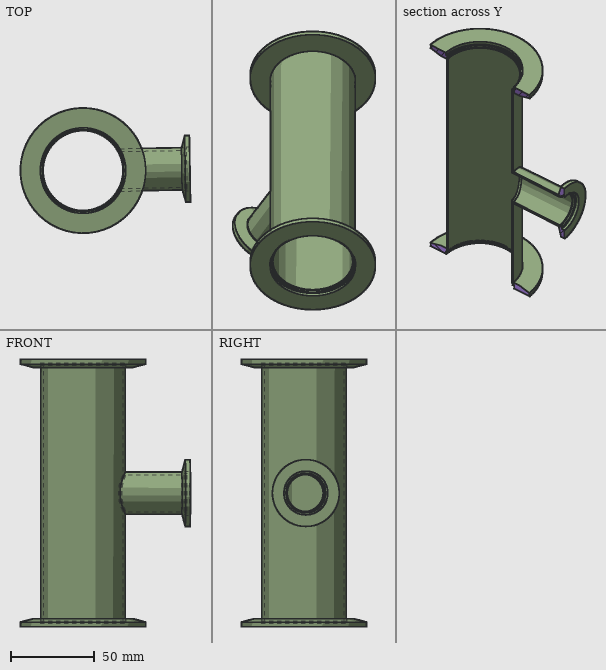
import cadquery as cq
import math

overall_height = 160.0
tube_diameter = 50.7
tube_bore = 47.7

branch_diameter = 25.5
branch_bore = 22.0
branch_reach = 64.0
branch_angle = 1.0

flange_thickness = 5.0
rim_thickness = 2.9
taper_angle = 15.0

end_flange_diameter = 75.0
end_recess_diameter = 51.2
end_recess_depth = 2.0
end_ledge_bore = 49.1
end_socket_diameter = 51.0
end_socket_depth = 1.5

branch_flange_diameter = 40.0
branch_recess_diameter = 26.2
branch_recess_depth = 2.0
branch_ledge_bore = 23.7
branch_socket_diameter = 25.6
branch_socket_depth = 1.5


def make_flange(diameter, recess_diameter, recess_depth, ledge_bore, socket_diameter, socket_depth):
    """Tapered clamp flange with its sealing face on Z = 0, facing +Z, and a tube socket in its back."""
    rim_radius = diameter / 2
    taper_height = flange_thickness - rim_thickness
    back_radius = rim_radius - taper_height / math.tan(math.radians(taper_angle))
    recess_radius = recess_diameter / 2
    ledge_radius = ledge_bore / 2
    socket_radius = socket_diameter / 2
    socket_floor = socket_depth - flange_thickness
    profile = [
        (recess_radius, 0),
        (rim_radius, 0),
        (rim_radius, -rim_thickness),
        (back_radius, -flange_thickness),
        (socket_radius, -flange_thickness),
        (socket_radius, socket_floor),
        (ledge_radius, socket_floor),
        (ledge_radius, -recess_depth),
        (recess_radius, -recess_depth),
    ]
    return cq.Workplane("XZ").polyline(profile).close().revolve(360, (0, 0), (0, 1))


def swing_branch(shape):
    """Turn a shape built along +X about the main axis into the branch direction."""
    return shape.rotate((0, 0, 0), (0, 0, 1), branch_angle)


def make_main_tube():
    """Straight tube seated in both end flanges, with a side opening into the branch."""
    length = overall_height - 2 * (flange_thickness - end_socket_depth)
    tube = (
        cq.Workplane("XY", origin=(0, 0, -length / 2))
        .circle(tube_diameter / 2)
        .circle(tube_bore / 2)
        .extrude(length)
    )
    opening = cq.Workplane("YZ").circle(branch_bore / 2).extrude(tube_diameter)
    return tube.cut(swing_branch(opening))


def make_branch_tube():
    """Side tube whose inner end is saddled to the outside of the main tube."""
    length = branch_reach - flange_thickness + branch_socket_depth
    branch = cq.Workplane("YZ").circle(branch_diameter / 2).circle(branch_bore / 2).extrude(length)
    saddle = (
        cq.Workplane("XY", origin=(0, 0, -branch_diameter))
        .circle(tube_diameter / 2)
        .extrude(2 * branch_diameter)
    )
    return swing_branch(branch.cut(saddle))


def make_end_flange(end_angle):
    """End flange on top of the main tube, turned about X by end_angle degrees."""
    flange = make_flange(
        end_flange_diameter,
        end_recess_diameter,
        end_recess_depth,
        end_ledge_bore,
        end_socket_diameter,
        end_socket_depth,
    )
    on_top = flange.translate((0, 0, overall_height / 2))
    return on_top.rotate((0, 0, 0), (1, 0, 0), end_angle)


def make_branch_flange():
    """Smaller flange on the free end of the branch tube."""
    flange = make_flange(
        branch_flange_diameter,
        branch_recess_diameter,
        branch_recess_depth,
        branch_ledge_bore,
        branch_socket_diameter,
        branch_socket_depth,
    )
    facing_x = flange.rotate((0, 0, 0), (0, 1, 0), 90)
    return swing_branch(facing_x.translate((branch_reach, 0, 0)))


main_tube = make_main_tube()
branch_tube = make_branch_tube()
end_flanges = [make_end_flange(end_angle) for end_angle in (0, 180)]
branch_flange = make_branch_flange()

result = cq.Compound.makeCompound([
    main_tube.val(),
    branch_tube.val(),
    *[flange.val() for flange in end_flanges],
    branch_flange.val(),
])